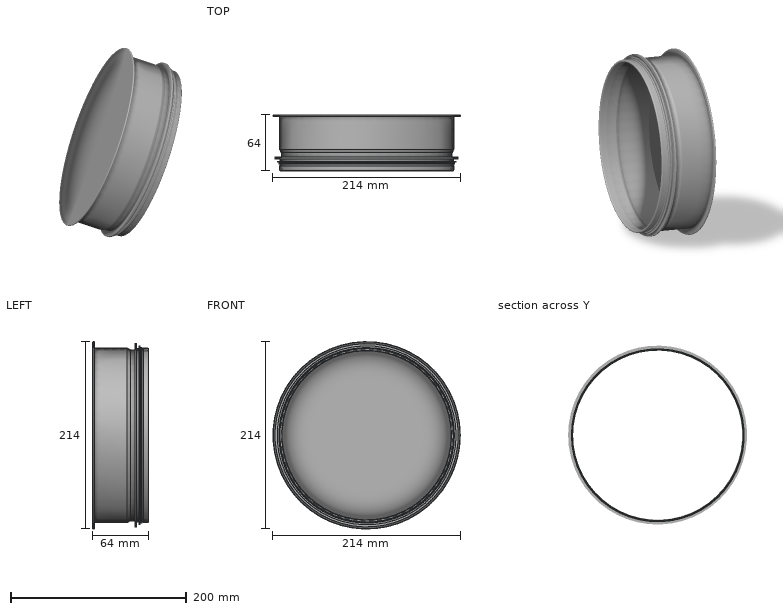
import cadquery as cq
import math

total_depth = 64.0
rear_y = total_depth / 2
front_y = -total_depth / 2
sheet = 0.6

tube_radius = 199.0 / 2
neck_radius = 195.3 / 2
mouth_radius = 193.2 / 2
flange_radius = 214.0 / 2
flange_thickness = 2.0
root_fillet = 0.6
shoulder_start_y = rear_y - 39.4
shoulder_end_y = rear_y - 43.0
shoulder_bend = 2.1
rim_y = front_y + 5.8
hem_y = rear_y - 55.0

gasket_radius = 198.0 / 2
gasket_rear_y = rear_y - 48.4
collar_radius = 209.2 / 2
collar_thickness = 2.0
long_fin_radius = 204.3 / 2
long_fin_y = rear_y - 53.0
long_fin_thickness = 0.9
short_fin_radius = 200.5 / 2
short_fin_y = rear_y - 55.0
short_fin_thickness = 1.0


def revolve_about_y(profile):
    """Revolve a closed (radius, y) profile a full turn about the Y axis."""
    return profile.close().revolve(360, (0, 0, 0), (0, 1, 0))


def ring(outer_radius, inner_radius, y_start, y_end):
    """Plain ring between two positions along Y."""
    profile = (
        cq.Workplane("XY")
        .moveTo(inner_radius, y_start)
        .lineTo(outer_radius, y_start)
        .lineTo(outer_radius, y_end)
        .lineTo(inner_radius, y_end)
    )
    return revolve_about_y(profile)


def make_tube():
    """Thin tube with a round-edged rear flange, a stepped-in neck and a rolled rim."""
    tube_bore = tube_radius - sheet
    neck_bore = neck_radius - sheet
    flange_front_y = rear_y - flange_thickness
    edge_radius = flange_thickness / 2
    edge_center_radius = flange_radius - edge_radius
    rim_radius = (tube_radius - mouth_radius) / 2
    rim_center_radius = (tube_radius + mouth_radius) / 2
    rim_center_y = front_y + rim_radius
    slope = math.atan2(tube_radius - neck_radius, shoulder_start_y - shoulder_end_y)
    setback = shoulder_bend * math.tan(slope / 2)
    setback_r = setback * math.sin(slope)
    setback_y = setback * math.cos(slope)
    profile = (
        cq.Workplane("XY")
        .moveTo(tube_bore, rear_y)
        .lineTo(edge_center_radius, rear_y)
        .threePointArc((flange_radius, rear_y - edge_radius), (edge_center_radius, flange_front_y))
        .lineTo(tube_radius + root_fillet, flange_front_y)
        .radiusArc((tube_radius, flange_front_y - root_fillet), -root_fillet)
        .lineTo(tube_radius, shoulder_start_y + setback)
        .radiusArc((tube_radius - setback_r, shoulder_start_y - setback_y), shoulder_bend)
        .lineTo(neck_radius + setback_r, shoulder_end_y + setback_y)
        .radiusArc((neck_radius, shoulder_end_y - setback), -shoulder_bend)
        .lineTo(neck_radius, rim_y)
        .lineTo(tube_radius, rim_y)
        .lineTo(tube_radius, rim_center_y)
        .threePointArc((rim_center_radius, front_y), (mouth_radius, rim_center_y))
        .lineTo(mouth_radius, hem_y)
        .lineTo(neck_bore, hem_y)
        .lineTo(neck_bore, shoulder_end_y)
        .lineTo(tube_bore, shoulder_start_y)
    )
    return revolve_about_y(profile)


def make_end_disc():
    """Flat disc that closes the rear end of the tube."""
    disc_radius = tube_radius - sheet
    return cq.Workplane("XZ", origin=(0, rear_y, 0)).circle(disc_radius).extrude(flange_thickness)


def make_gasket():
    """Sealing ring in the neck with a collar and two fins."""
    gasket = ring(gasket_radius, neck_radius, rim_y, gasket_rear_y)
    collar = ring(collar_radius, neck_radius, gasket_rear_y - collar_thickness, gasket_rear_y)
    long_fin = ring(long_fin_radius, neck_radius, long_fin_y - long_fin_thickness, long_fin_y)
    short_fin = ring(short_fin_radius, neck_radius, short_fin_y - short_fin_thickness, short_fin_y)
    return gasket.union(collar).union(long_fin).union(short_fin)


tube = make_tube()
end_disc = make_end_disc()
gasket = make_gasket()

result = cq.Compound.makeCompound([tube.val(), end_disc.val(), gasket.val()])